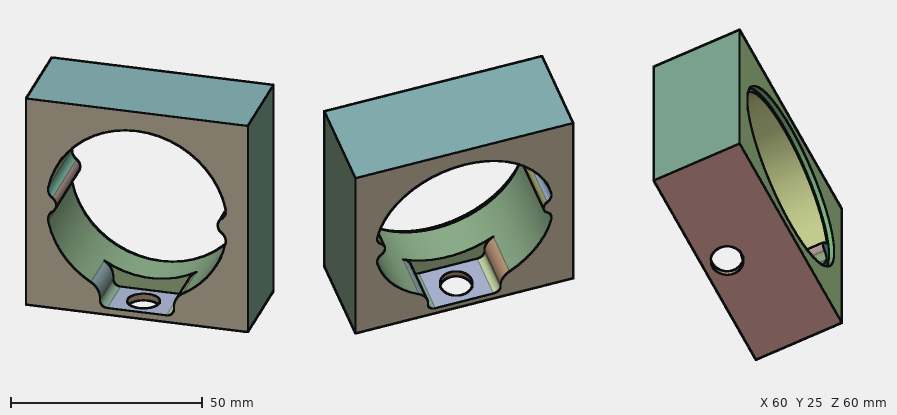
import cadquery as cq
import math

side = 60.0
depth = 25.0
front_y = -depth / 2
back_y = depth / 2
bore_radius = 24.5

back_recess_step = 1.0
back_recess_radius = bore_radius + back_recess_step
back_recess_depth = 1.5

rib_tip_x = 21.85
rib_radius = 2.5
rib_root_radius = 3.0

pocket_width = 20.0
pocket_floor_thickness = 2.0
pocket_depth = 13.0
pocket_corner_radius = 2.0
pocket_mouth_radius = 5.0

floor_hole_diameter = 8.5
floor_hole_setback = pocket_depth / 2


def front_sketch():
    """Sketch plane on the front face with axes X and Z; extruding by a negative length goes into the block."""
    return cq.Workplane("XZ", origin=(0, front_y, 0))


def bore_with_ribs():
    """Through bore whose round outline runs over one rib on each side in tangent arcs."""
    rib_centre_x = rib_tip_x + rib_radius
    root_orbit = bore_radius - rib_root_radius
    centre_gap = rib_radius + rib_root_radius
    root_x = (rib_centre_x**2 + root_orbit**2 - centre_gap**2) / (2 * rib_centre_x)
    root_z = math.sqrt(root_orbit**2 - root_x**2)

    bore_end_x = root_x * bore_radius / root_orbit
    bore_end_z = root_z * bore_radius / root_orbit
    rib_share = rib_radius / centre_gap
    rib_end_x = rib_centre_x + (root_x - rib_centre_x) * rib_share
    rib_end_z = root_z * rib_share
    root_bottom_x = root_x + rib_root_radius

    outline = (
        front_sketch()
        .moveTo(bore_end_x, bore_end_z)
        .threePointArc((0, bore_radius), (-bore_end_x, bore_end_z))
        .threePointArc((-root_bottom_x, root_z), (-rib_end_x, rib_end_z))
        .threePointArc((-rib_tip_x, 0), (-rib_end_x, -rib_end_z))
        .threePointArc((-root_bottom_x, -root_z), (-bore_end_x, -bore_end_z))
        .threePointArc((0, -bore_radius), (bore_end_x, -bore_end_z))
        .threePointArc((root_bottom_x, -root_z), (rib_end_x, -rib_end_z))
        .threePointArc((rib_tip_x, 0), (rib_end_x, rib_end_z))
        .threePointArc((root_bottom_x, root_z), (bore_end_x, bore_end_z))
        .close()
    )
    return outline.extrude(-depth)


def back_recess():
    """Plain round recess in the back face, which also ends the ribs."""
    return (
        cq.Workplane("XZ", origin=(0, back_y, 0))
        .circle(back_recess_radius)
        .extrude(back_recess_depth)
    )


def bottom_pocket():
    """Pocket below the bore with rounded floor corners and a mouth that flares tangent to the bore."""
    wall_x = pocket_width / 2
    floor_z = -side / 2 + pocket_floor_thickness
    mouth_centre_x = wall_x + pocket_mouth_radius
    mouth_orbit = bore_radius + pocket_mouth_radius
    mouth_centre_z = -math.sqrt(mouth_orbit**2 - mouth_centre_x**2)
    mouth_x = mouth_centre_x * bore_radius / mouth_orbit
    mouth_z = mouth_centre_z * bore_radius / mouth_orbit

    outline = (
        front_sketch()
        .moveTo(-mouth_x, mouth_z)
        .radiusArc((-wall_x, mouth_centre_z), pocket_mouth_radius)
        .lineTo(-wall_x, floor_z + pocket_corner_radius)
        .radiusArc((-wall_x + pocket_corner_radius, floor_z), -pocket_corner_radius)
        .lineTo(wall_x - pocket_corner_radius, floor_z)
        .radiusArc((wall_x, floor_z + pocket_corner_radius), -pocket_corner_radius)
        .lineTo(wall_x, mouth_centre_z)
        .radiusArc((mouth_x, mouth_z), pocket_mouth_radius)
        .close()
    )
    return outline.extrude(-pocket_depth)


def floor_hole():
    """Vertical hole from the underside up into the pocket."""
    return (
        cq.Workplane("XY", origin=(0, front_y + floor_hole_setback, -side / 2))
        .circle(floor_hole_diameter / 2)
        .extrude(side / 2 - bore_radius)
    )


block = cq.Workplane("XY").box(side, depth, side)
result = block.cut(bore_with_ribs()).cut(back_recess()).cut(bottom_pocket()).cut(floor_hole())